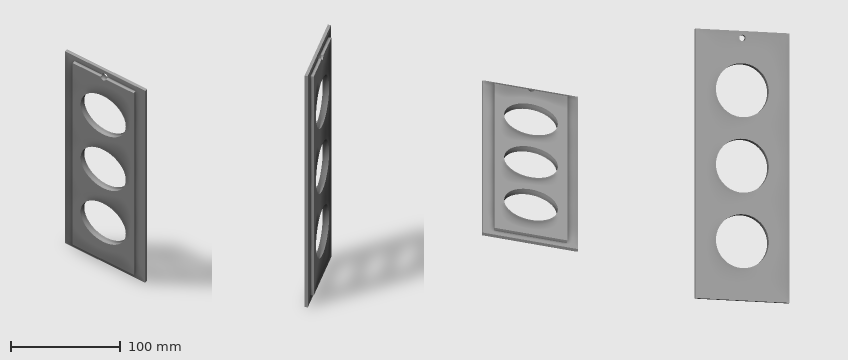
import cadquery as cq

plate_width = 89.0
plate_height = 250.0
total_thickness = 6.0

panel_width = 67.7
panel_height = 236.7
panel_thickness = 3.0
plate_thickness = total_thickness - panel_thickness

window_diameter = 50.0
window_pitch = 70.0
hanging_hole_diameter = 6.0
hanging_hole_inset = 6.5
hanging_hole_z = plate_height / 2 - hanging_hole_inset


def slab(width, thickness, height, front_y):
    """Upright slab centred on X and Z, reaching from front_y towards +Y."""
    return cq.Workplane("XY").box(width, thickness, height).translate((0, front_y + thickness / 2, 0))


def through_hole(diameter, z):
    """Cylinder along Y spanning the full thickness, centred on X = 0."""
    back_face = cq.Workplane("XZ", origin=(0, plate_thickness, z))
    return back_face.circle(diameter / 2).extrude(total_thickness)


plate = slab(plate_width, plate_thickness, plate_height, 0)
panel = slab(panel_width, panel_thickness, panel_height, -panel_thickness)
result = plate.union(panel)

for step in (-1, 0, 1):
    result = result.cut(through_hole(window_diameter, step * window_pitch))

result = result.cut(through_hole(hanging_hole_diameter, hanging_hole_z))